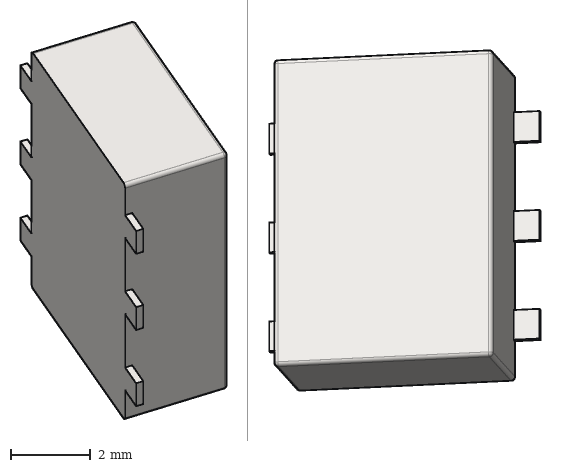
import cadquery as cq

body_width = 5.59
body_depth = 2.84
body_height = 7.87
edge_radius = 0.1

lead_span = 6.91
lead_thickness = 0.2
lead_width = 0.76
lead_pitch = 2.54
leads_per_side = 3


def make_body():
    """Block rounded on every edge except those around the mounting face."""
    block = cq.Workplane("XY").box(body_width, body_depth, body_height, centered=(True, False, True))
    return block.edges("|Y or >Y").fillet(edge_radius)


def make_lead_pair(height):
    """Strip through the body whose two ends stick out as opposite leads."""
    strip = cq.Workplane("XY").box(lead_span, lead_thickness, lead_width, centered=(True, False, True))
    return strip.translate((0, 0, height))


result = make_body()
for index in range(leads_per_side):
    lead_height = (index - (leads_per_side - 1) / 2) * lead_pitch
    result = result.union(make_lead_pair(lead_height))
result = result.clean()